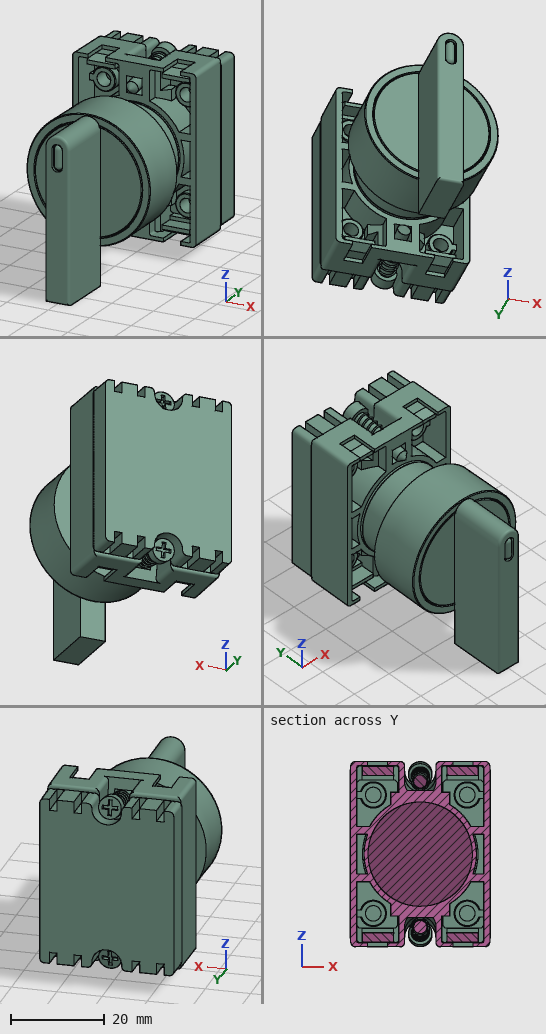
import cadquery as cq
import math


width = 29.8
draft_width = 29.6
frame_height = 39.5
frame_depth = 11.45
corner_radius = 1.0
rear_round = 0.55
rear_inset = 0.1
side_wall = 1.4
roof_wall = 0.9
column_half = 3.7
column_step = 0.85
column_step_start = 2.4
cavity_radius = 0.5
ring_radius = 12.3
ring_flank_radius = 12.0
gusset_half_height = 13.2
gusset_depth = 5.0
rib_inner = 4.2
rib_outer = 5.9
rib_depth = 7.2
notch_width = 4.2
notch_x = 9.1
notch_depth = 6.4

cover_depth = 6.05
cover_height = 37.6
groove_depth = 2.5
groove_spans = [(5.6, 7.25), (11.0, 12.65)]
terminal_half_height = 15.75
terminal_clearance = 0.05
terminal_column_gap = 0.3
terminal_bevel = 0.5
skirt_thickness = 0.8
skirt_radius = 0.6
post_x = 10.0
post_z = 12.6
post_radius = 2.8
post_bore = 1.65
post_height = 2.2
post_bevel = 0.2
post_bore_depth = 4.0
arm_width = 1.5
hook_x = 9.0
hook_width = 6.7
hook_front = 1.85
hook_slope_start = 3.9
hook_root_z = 16.7
hook_rib_front = 5.5
hook_rib_z = 15.8
hook_nose_z = 17.65
hook_top_z = 18.75

screw_tilt = math.radians(10)
screw_front_z = 14.6
shank_radius = 1.45
tip_start = -0.9
tip_end = -2.25
head_start = 12.65
head_end = 15.2
head_radius = 2.5
driver_slot_width = 0.8
driver_slot_depth = 0.9
driver_slot_length = 3.4
seat_position = 4.73
channel_half = 3.3
channel_edge_radius = 1.0
window_half = 1.87
wire_radius = 0.18
coil_radius = 1.8
coil_pitch = 1.42

bushing_depth = 5.0
flange_radius = 11.05
flange_length = 0.55
barrel_radius = 10.95
bezel_back = 8.45
bezel_front = 20.75
bezel_back_radius = 14.8
bezel_radius = width / 2
bezel_bevel = 0.2
bezel_bore = 13.15
bezel_bore_depth = 3.0

disc_radius = 12.95
disc_bevel = 0.2
handle_half = 2.95
handle_front = 34.8
handle_bottom = -23.58
handle_top = 14.5
handle_fillet = 0.6
marker_radius = 1.0
marker_z = 9.55
marker_straight = 3.7
marker_rise = 0.3
marker_gap = 0.25

cover_back = frame_depth + cover_depth
cavity_x = width / 2 - side_wall
cavity_z = frame_height / 2 - roof_wall
column_back_half = column_half + column_step
marker_base = marker_radius - marker_rise - handle_front
corner_signs = [(sx, sz) for sx in (-1, 1) for sz in (-1, 1)]


def section(y):
    """Sketch plane across the shaft axis; a negative extrusion runs to the rear."""
    return cq.Workplane("XZ", origin=(0, y, 0))


def block(x0, x1, y0, y1, z0, z1):
    return cq.Workplane().box(x1 - x0, y1 - y0, z1 - z0, centered=False).translate((x0, y0, z0))


def cylinder(radius, y0, y1, x=0, z=0):
    return section(y0).center(x, z).circle(radius).extrude(y0 - y1)


def drafted_block(y0, width0, y1, width1, height):
    """Block whose sides draft from one width to the other."""
    outline = [(-width0 / 2, y0), (width0 / 2, y0), (width1 / 2, y1), (-width1 / 2, y1)]
    return cq.Workplane("XY", origin=(0, 0, -height / 2)).polyline(outline).close().extrude(height)


def round_corners(body):
    """Rounds the edges that run from front to back."""
    return body.edges("not(|X or |Z)").fillet(corner_radius)


def both_ends(solid):
    """The upper item and its copy turned half a turn about the shaft axis."""
    return [solid, solid.rotate((0, 0, 0), (0, 1, 0), 180)]


def screw_plane(position):
    """Plane across the upper screw; local Z follows the screw to the rear, local -Y points outward."""
    cosine = math.cos(screw_tilt)
    sine = math.sin(screw_tilt)
    origin = (0, position * cosine, screw_front_z + position * sine)
    return cq.Workplane(cq.Plane(origin=origin, xDir=(1, 0, 0), normal=(0, cosine, sine)))


def screw_channel():
    """U-shaped channel, open outward, from the spring seat to beyond the cover."""
    reach = cover_back
    bottom = screw_plane(seat_position).circle(channel_half).extrude(reach)
    opening = screw_plane(seat_position).center(0, -reach / 2).rect(2 * channel_half, reach).extrude(reach)
    return bottom.union(opening)


def round_channel_edges(body, y0, y1, height):
    """Rounds the outer long edges of both channels."""
    margin = 0.1
    selector = None
    for sx, sz in corner_signs:
        x = sx * channel_half
        z = sz * height / 2
        low = (x - margin, y0 - margin, z - margin)
        high = (x + margin, y1 + margin, z + margin)
        box = cq.selectors.BoxSelector(low, high, boundingbox=True)
        selector = box if selector is None else selector + box
    return body.edges(selector).edges("|Y").fillet(channel_edge_radius)


def frame_cavity(side):
    """Through opening beside the centre column; the column widens part way back."""
    step_end = column_step_start + column_step
    outline = [
        (side * column_half, 0),
        (side * cavity_x, 0),
        (side * cavity_x, frame_depth),
        (side * column_back_half, frame_depth),
        (side * column_back_half, step_end),
        (side * column_half, column_step_start),
    ]
    cavity = cq.Workplane("XY", origin=(0, 0, -cavity_z)).polyline(outline).close().extrude(2 * cavity_z)
    return cavity.edges("|Y").fillet(cavity_radius)


def rounded_rear_prism():
    """Side profile of the frame, with its top and bottom rear edges rounded."""
    profile = block(-width, width, 0, frame_depth, -frame_height / 2, frame_height / 2)
    return profile.faces(">Y").edges("|X").fillet(rear_round)


def column_gusset():
    """Wedge that carries the column's 45 degree flanks on, then runs straight to the rib depth."""
    step_end = column_step_start + column_step
    spread = column_back_half + gusset_depth - step_end
    outline = [
        (-column_back_half, step_end),
        (column_back_half, step_end),
        (spread, gusset_depth),
        (spread, rib_depth),
        (-spread, rib_depth),
        (-spread, gusset_depth),
    ]
    base = cq.Workplane("XY", origin=(0, 0, -gusset_half_height))
    return base.polyline(outline).close().extrude(2 * gusset_half_height)


def make_frame():
    round_start = frame_depth - rear_round
    body = drafted_block(0, width, round_start, draft_width, frame_height)
    rear_width = draft_width - 2 * rear_inset
    body = body.union(drafted_block(round_start, draft_width, frame_depth, rear_width, frame_height))
    body = round_corners(body)
    for side in (-1, 1):
        body = body.cut(frame_cavity(side))
    ring = cylinder(ring_radius, 0, frame_depth)
    between_ribs = block(-ring_radius, ring_radius, 0, rib_depth, -rib_inner, rib_inner)
    ring = ring.cut(between_ribs.cut(cylinder(ring_flank_radius, 0, rib_depth)))
    body = body.union(ring).union(column_gusset())
    for sz in (-1, 1):
        z0, z1 = sorted((sz * rib_inner, sz * rib_outer))
        body = body.union(block(-cavity_x, cavity_x, 0, rib_depth, z0, z1))
    for sx, sz in corner_signs:
        z0, z1 = sorted((sz * cavity_z, sz * frame_height / 2))
        x = sx * notch_x
        body = body.cut(block(x - notch_width / 2, x + notch_width / 2, 0, notch_depth, z0, z1))
    for channel in both_ends(screw_channel()):
        body = body.cut(channel)
    body = round_channel_edges(body, 0, frame_depth, frame_height)
    body = body.intersect(rounded_rear_prism())
    window = screw_plane(tip_end).rect(2 * window_half, 2 * window_half).extrude(seat_position - tip_end)
    for opening in both_ends(window):
        body = body.cut(opening)
    return body.cut(cylinder(flange_radius, 0, bushing_depth))


def make_hook(sx, sz):
    """Snap hook reaching forward from the cover, with a sloping nose."""
    outline = [
        (frame_depth, hook_rib_z),
        (hook_rib_front, hook_rib_z),
        (hook_rib_front, hook_root_z),
        (hook_front, hook_root_z),
        (hook_front, hook_nose_z),
        (hook_slope_start, hook_top_z),
        (frame_depth, hook_top_z),
    ]
    points = [(y, sz * z) for y, z in outline]
    start = sx * hook_x - hook_width / 2
    return cq.Workplane("YZ", origin=(start, 0, 0)).polyline(points).close().extrude(hook_width)


def make_post(sx, sz):
    """Terminal post with an arm towards the side wall."""
    front = rib_depth - post_height
    post = cylinder(post_radius, front, rib_depth, sx * post_x, sz * post_z)
    post = post.faces("<Y").chamfer(post_bevel)
    x0, x1 = sorted((sx * post_x, sx * (cavity_x - terminal_clearance)))
    z = sz * post_z
    return post.union(block(x0, x1, front, rib_depth, z - arm_width / 2, z + arm_width / 2))


def make_terminal(side):
    """Terminal carrier filling the rear of one frame cavity."""
    x0, x1 = sorted((side * (column_back_half + terminal_column_gap), side * (cavity_x - terminal_clearance)))
    carrier = block(x0, x1, rib_depth, frame_depth, -terminal_half_height, terminal_half_height)
    return carrier.edges("|Y").chamfer(terminal_bevel)


def make_skirt(side):
    """Thin plate at the cover's face, closing one frame cavity from behind."""
    x0, x1 = sorted((side * (column_back_half + terminal_clearance), side * (cavity_x - terminal_clearance)))
    top = cavity_z - terminal_clearance
    plate = block(x0, x1, frame_depth - skirt_thickness, frame_depth, -top, top)
    return plate.edges("|Y").fillet(skirt_radius)


def make_cover():
    body = round_corners(drafted_block(frame_depth, width, cover_back, draft_width, cover_height))
    for channel in both_ends(screw_channel()):
        body = body.cut(channel)
    body = round_channel_edges(body, frame_depth, cover_back, cover_height)
    groove_bottom = cover_height / 2 - groove_depth
    for near, far in groove_spans:
        for sx, sz in corner_signs:
            x0, x1 = sorted((sx * near, sx * far))
            z0, z1 = sorted((sz * groove_bottom, sz * cover_height / 2))
            body = body.cut(block(x0, x1, frame_depth, cover_back, z0, z1))
    ring = cylinder(ring_radius, rib_depth, frame_depth)
    for side in (-1, 1):
        body = body.union(make_terminal(side).cut(ring)).union(make_skirt(side).cut(ring))
    for sx, sz in corner_signs:
        front = rib_depth - post_height
        body = body.union(make_hook(sx, sz)).union(make_post(sx, sz))
        body = body.cut(cylinder(post_bore, front, front + post_bore_depth, sx * post_x, sz * post_z))
    return body


def make_bushing():
    half_profile = [
        (0, bushing_depth),
        (flange_radius, bushing_depth),
        (flange_radius, -flange_length),
        (barrel_radius, -flange_length),
        (barrel_radius, -bezel_back),
        (bezel_back_radius, -bezel_back),
        (bezel_radius, bezel_bevel - bezel_front),
        (bezel_radius - bezel_bevel, -bezel_front),
        (bezel_bore, -bezel_front),
        (bezel_bore, bezel_bore_depth - bezel_front),
        (0, bezel_bore_depth - bezel_front),
    ]
    return cq.Workplane("XY").polyline(half_profile).close().revolve(360, (0, 0), (0, 1))


def make_marker():
    """Half-round bar with spherical ends, flat at the rear."""
    bar = cq.Workplane("XY").circle(marker_radius).extrude(marker_straight)
    for end in (0, marker_straight):
        bar = bar.union(cq.Workplane().sphere(marker_radius).translate((0, 0, end)))
    bar = bar.translate((0, marker_base, marker_z - marker_straight / 2))
    return bar.intersect(cylinder(handle_top, marker_base - marker_radius, marker_base))


def marker_pocket():
    pocket_width = 2 * (marker_radius + marker_gap)
    pocket = section(marker_base).center(0, marker_z)
    return pocket.slot2D(marker_straight + pocket_width, pocket_width, 90).extrude(handle_front + marker_base)


def make_knob():
    disc = cylinder(disc_radius, -bezel_front, bezel_bore_depth - bezel_front)
    disc = disc.faces("<Y").chamfer(disc_bevel)
    arc_z = handle_top - handle_half
    handle = (
        section(-bezel_front)
        .moveTo(-handle_half, handle_bottom)
        .lineTo(handle_half, handle_bottom)
        .lineTo(handle_half, arc_z)
        .threePointArc((0, handle_top), (-handle_half, arc_z))
        .close()
        .extrude(handle_front - bezel_front)
    )
    handle = handle.faces("<Y").edges().fillet(handle_fillet)
    return disc.union(handle).cut(marker_pocket())


def make_screw():
    """Pointed cheese-head screw with a cross recess."""
    shank = screw_plane(tip_start).circle(shank_radius).extrude(head_start - tip_start)
    tip_outline = [(0, tip_end), (shank_radius, tip_start), (0, tip_start)]
    tip_section = screw_plane(0).transformed(rotate=(90, 0, 0)).polyline(tip_outline).close()
    tip = tip_section.revolve(360, (0, 0), (0, 1))
    screw = shank.union(tip).union(screw_plane(head_start).circle(head_radius).extrude(head_end - head_start))
    for length, breadth in ((driver_slot_length, driver_slot_width), (driver_slot_width, driver_slot_length)):
        screw = screw.cut(screw_plane(head_end).rect(length, breadth).extrude(-driver_slot_depth))
    return screw


def make_spring():
    """Round-wire coil between the channel's seat and the screw head."""
    start = seat_position + wire_radius
    height = head_start - wire_radius - start
    helix = cq.Wire.makeHelix(coil_pitch, height, coil_radius)
    wire_section = cq.Workplane("XZ").center(coil_radius, 0).circle(wire_radius)
    coil = wire_section.sweep(cq.Workplane(helix), isFrenet=True)
    return cq.Workplane(coil.val().moved(screw_plane(start).plane.location))


frame = make_frame()
cover = make_cover()
bushing = make_bushing()
marker = make_marker()
knob = make_knob()
screws = both_ends(make_screw())
springs = both_ends(make_spring())

bodies = [frame, cover, bushing, knob, marker, *screws, *springs]
result = cq.Compound.makeCompound([body.solids().val() for body in bodies])